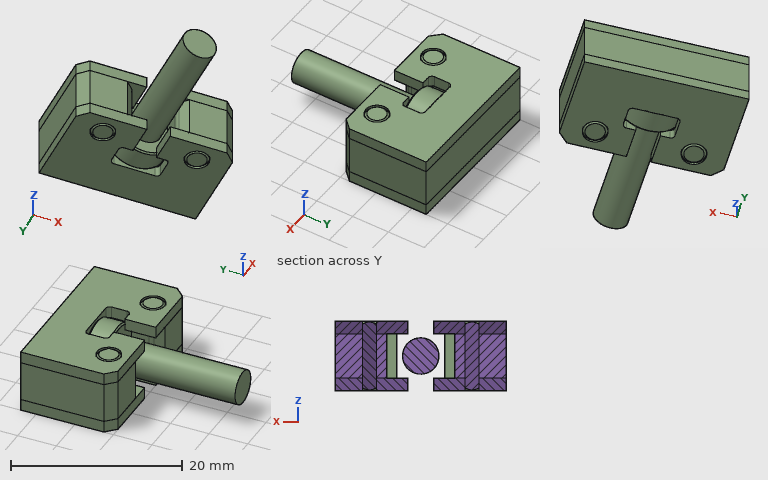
import cadquery as cq

overall_length = 24.0
block_width = 20.0
block_depth = 12.0
block_height = 8.15
core_height = 5.15
plate_thickness = (block_height - core_height) / 2
corner_chamfer = 1.25

slot_width = 3.0
pocket_width = 6.26
pocket_front = 4.0
pocket_depth = 3.0
pocket_back = pocket_front + pocket_depth
pocket_corner_radius = 0.5

throat_width = 5.6
mouth_width = 7.97
mouth_depth = (mouth_width - throat_width) / 2
throat_round = 0.8

rod_diameter = 4.27
head_diameter = 7.7
head_side_clearance = 0.1
head_front_clearance = 0.25
head_back = pocket_back
head_front = pocket_front
head_chamfer = 0.2
head_chamber_width = head_diameter + 2 * head_side_clearance
head_chamber_front = head_front - head_front_clearance

pin_diameter = 3.0
pin_chamfer = 0.3
pin_spacing = 12.0
pin_setback = 2.5
pin_positions = [(side * pin_spacing / 2, pin_setback) for side in (-1, 1)]


def box_between(width, y_front, y_back, height):
    """Box centred on x and z, spanning y_front to y_back."""
    return cq.Workplane("XY").box(width, y_back - y_front, height).translate(
        (0, (y_front + y_back) / 2, 0)
    )


def make_layer(thickness):
    """Block outline with chamfered front corners and pin holes, centred on z = 0."""
    layer = box_between(block_width, 0, block_depth, thickness)
    layer = layer.edges("|Z and <Y").chamfer(corner_chamfer)
    pin_holes = (
        cq.Workplane("XY").pushPoints(pin_positions).circle(pin_diameter / 2).extrude(thickness, both=True)
    )
    return layer.cut(pin_holes)


def make_plate(z_center):
    """Cover plate with a rod slot that opens into a pocket over the head."""
    slot = box_between(slot_width, 0, pocket_back, plate_thickness)
    pocket = box_between(pocket_width, pocket_front, pocket_back, plate_thickness)
    pocket = pocket.edges("|Z").fillet(pocket_corner_radius)
    plate = make_layer(plate_thickness).cut(slot).cut(pocket)
    return plate.translate((0, 0, z_center))


def make_core():
    """Middle layer with a flared throat that leads to the head chamber."""
    throat_opening = (
        cq.Workplane("XY")
        .polyline([
            (-mouth_width / 2, 0),
            (mouth_width / 2, 0),
            (throat_width / 2, mouth_depth),
            (throat_width / 2, pocket_back),
            (-throat_width / 2, pocket_back),
            (-throat_width / 2, mouth_depth),
        ])
        .close()
        .extrude(core_height / 2, both=True)
    )
    flare_corners = cq.selectors.BoxSelector(
        (-throat_width, mouth_depth / 2, -core_height),
        (throat_width, 2 * mouth_depth, core_height),
    )
    throat_opening = throat_opening.edges("|Z").edges(flare_corners).fillet(throat_round)
    chamber = box_between(head_chamber_width, head_chamber_front, head_back, core_height)
    return make_layer(core_height).cut(throat_opening).cut(chamber)


def make_rod():
    """Round rod with a disc head, chamfered around both rims."""
    head = (
        cq.Workplane("XZ", origin=(0, head_back, 0))
        .circle(head_diameter / 2)
        .extrude(head_back - head_front)
        .faces("|Y")
        .chamfer(head_chamfer)
    )
    shank = (
        cq.Workplane("XZ", origin=(0, head_front, 0))
        .circle(rod_diameter / 2)
        .extrude(head_front + overall_length - block_depth)
    )
    return head.union(shank)


def make_pin(x, y):
    """Dowel pin, flush with both plates and chamfered at both ends."""
    return (
        cq.Workplane("XY", origin=(x, y, -block_height / 2))
        .circle(pin_diameter / 2)
        .extrude(block_height)
        .faces("|Z")
        .chamfer(pin_chamfer)
    )


plate_offset = (core_height + plate_thickness) / 2
core = make_core()
plates = [make_plate(side * plate_offset) for side in (-1, 1)]
rod = make_rod()
pins = [make_pin(x, y) for x, y in pin_positions]

result = cq.Compound.makeCompound([body.solids().val() for body in [core, *plates, rod, *pins]])